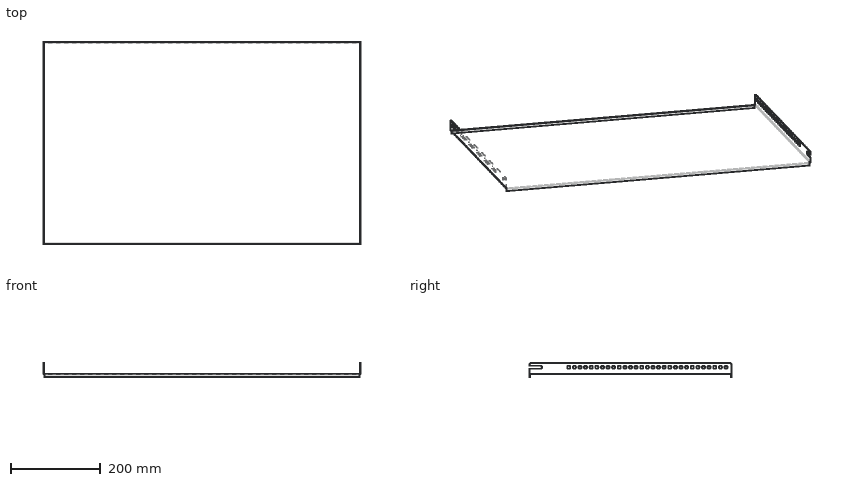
import cadquery as cq

length_x = 706.0
depth_y = 450.0
height_z = 32.0

sheet = 1.5
inner_bend = 1.0
outer_bend = inner_bend + sheet

flange_height = 25.5
flange_corner = 5.0

hole_diameter = 6.5
pitches_per_depth = 36
hole_pitch = depth_y / pitches_per_depth
hole_count = 29
row_below_top = 10.0
slot_length = 28.0

sheet_bottom = height_z - flange_height
sheet_top = sheet_bottom + sheet
row_z = height_z - row_below_top
half_x = length_x / 2
half_y = depth_y / 2
lip_half_x = half_x - outer_bend


def side_channel():
    """Flat sheet with both side flanges turned up through rounded bends."""
    outside = (
        cq.Workplane("XZ")
        .rect(length_x, flange_height)
        .extrude(half_y, both=True)
        .edges("|Y and <Z")
        .fillet(outer_bend)
    )
    inside = (
        cq.Workplane("XZ")
        .center(0, sheet)
        .rect(length_x - 2 * sheet, flange_height)
        .extrude(half_y, both=True)
        .edges("|Y and <Z")
        .fillet(inner_bend)
    )
    channel = outside.cut(inside).translate((0, 0, height_z - flange_height / 2))
    return channel.edges("|X and >Z").fillet(flange_corner)


def lip_channel():
    """Sheet between the side bends, with a lip turned down at each Y end."""
    outside = (
        cq.Workplane("YZ")
        .rect(depth_y, sheet_top)
        .extrude(lip_half_x, both=True)
        .edges("|X and >Z")
        .fillet(outer_bend)
    )
    inside = (
        cq.Workplane("YZ")
        .center(0, -sheet)
        .rect(depth_y - 2 * sheet, sheet_top)
        .extrude(lip_half_x, both=True)
        .edges("|X and >Z")
        .fillet(inner_bend)
    )
    return outside.cut(inside).translate((0, 0, sheet_top / 2))


def sheet_end_trim():
    """Ends of the flat sheet, cleared so that the lip bends can replace them."""
    return (
        cq.Workplane("XY", origin=(0, 0, sheet_bottom))
        .pushPoints([(0, end * (half_y - outer_bend / 2)) for end in (-1, 1)])
        .rect(2 * lip_half_x, outer_bend)
        .extrude(sheet)
    )


def flange_cutouts():
    """Hole row and front slot, cut through both side flanges."""
    hole_places = [(half_y - hole_pitch * (i + 1), row_z) for i in range(hole_count)]
    holes = (
        cq.Workplane("YZ")
        .pushPoints(hole_places)
        .circle(hole_diameter / 2)
        .extrude(half_x, both=True)
    )
    slot = (
        cq.Workplane("YZ")
        .center(-half_y, row_z)
        .slot2D(2 * slot_length, hole_diameter)
        .extrude(half_x, both=True)
    )
    return holes.union(slot)


result = side_channel().cut(sheet_end_trim()).union(lip_channel()).cut(flange_cutouts())